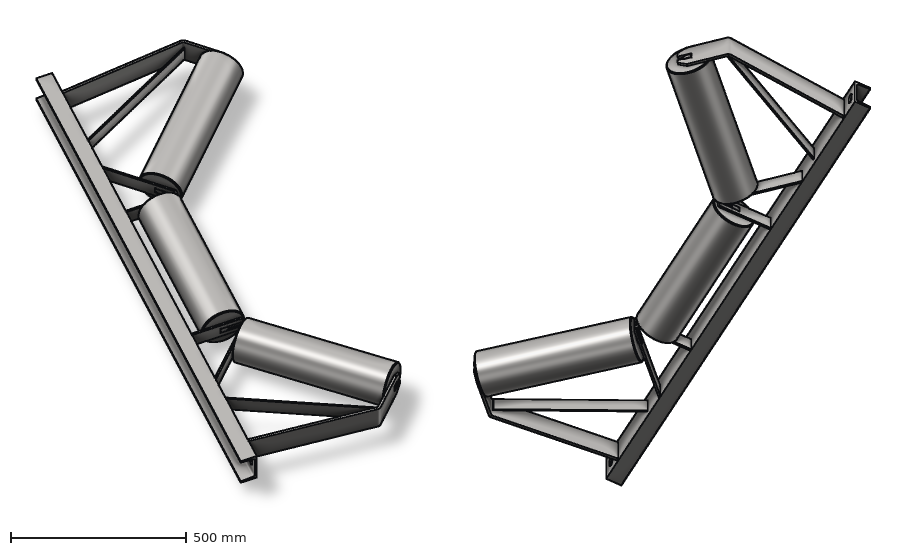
import cadquery as cq
import math


channel_length = 1500.0
channel_height = 100.0
flange_width = 50.0
web_thickness = 6.0
flange_thickness = 8.5
flange_slope = 0.08
root_radius = 8.0
slot_inset = 28.0
slot_width = 18.0
slot_length = 35.0

roller_diameter = 134.0
roller_length = 466.0
edge_chamfer = 3.0
shaft_diameter = 25.0
shaft_flat_width = 18.0
end_gap = 5.0
center_roller_y = 114.0
center_roller_z = -21.0
wing_angle = 45.0
wing_rise = 18.0
wing_center_x = -460.0
wing_center_y = 308.0

inner_plate_thickness = 6.0
outer_plate_thickness = 8.0
brace_thickness = 5.0
bend_radius = 8.0
inner_bracket_height = 50.0
outer_bracket_height = 81.0
outer_foot_x = -681.0
outer_knee_y = 392.0
outer_tip_beyond_shaft = 28.0
tip_chamfer_along = 27.0
tip_chamfer_across = 18.0
brace_foot_x = -501.0
brace_top_x = -705.0
brace_top_y = 390.0
brace_height = 50.0

roller_radius = roller_diameter / 2
shaft_radius = shaft_diameter / 2
shaft_overhang = end_gap + inner_plate_thickness
shaft_length = roller_length + 2 * shaft_overhang
inner_plate_offset = roller_length / 2 + end_gap + inner_plate_thickness / 2
outer_plate_offset = roller_length / 2 + end_gap + outer_plate_thickness / 2
wing_tilt = math.degrees(math.asin(wing_rise / roller_length))
wing_center_z = center_roller_z + wing_rise / 2
wing_cos = math.cos(math.radians(wing_angle))
wing_sin = math.sin(math.radians(wing_angle))


def wing_point(outward, upward):
    """Point in XY, measured from the middle of the left wing roller along and across its axis."""
    x = wing_center_x - outward * wing_cos + upward * wing_sin
    y = wing_center_y + outward * wing_sin + upward * wing_cos
    return (x, y)


def mirrored_pair(left_body):
    return [left_body.val(), left_body.mirror("YZ").val()]


def make_channel():
    half_height = channel_height / 2
    inner_width = flange_width - web_thickness
    slope_half = flange_slope * inner_width / 2
    root_z = half_height - flange_thickness - slope_half
    tip_z = half_height - flange_thickness + slope_half
    channel = (
        cq.Workplane("YZ", origin=(-channel_length / 2, 0, 0))
        .polyline([
            (0, -half_height),
            (-flange_width, -half_height),
            (-flange_width, -tip_z),
            (-web_thickness, -root_z),
            (-web_thickness, root_z),
            (-flange_width, tip_z),
            (-flange_width, half_height),
            (0, half_height),
        ])
        .close()
        .extrude(channel_length)
    )
    for side in (-1, 1):
        root = cq.selectors.NearestToPointSelector((0, -web_thickness, side * root_z))
        channel = channel.edges("|X").edges(root).fillet(root_radius)
    slot_x = channel_length / 2 - slot_inset
    slots = (
        cq.Workplane("XZ")
        .pushPoints([(-slot_x, 0), (slot_x, 0)])
        .slot2D(slot_length, slot_width, 90)
        .extrude(flange_width)
    )
    return channel.cut(slots)


def make_roller():
    """Roller along X with its middle at the origin and a flat-sided shaft end on each side."""
    drum = cq.Workplane("YZ", origin=(-roller_length / 2, 0, 0)).circle(roller_radius).extrude(roller_length)
    drum = drum.faces("<X or >X").edges().chamfer(edge_chamfer)
    shaft = cq.Workplane("YZ", origin=(-shaft_length / 2, 0, 0)).circle(shaft_radius).extrude(shaft_length)
    flats = cq.Workplane("XY").box(shaft_length, shaft_diameter, shaft_flat_width)
    return drum.union(shaft.intersect(flats))


def make_center_roller():
    return make_roller().translate((0, center_roller_y, center_roller_z))


def make_wing_roller():
    return (
        make_roller()
        .rotate((0, 0, 0), (0, 1, 0), wing_tilt)
        .rotate((0, 0, 0), (0, 0, 1), -wing_angle)
        .translate((wing_center_x, wing_center_y, wing_center_z))
    )


def offset_points(start, knee, end, distance):
    """The three points shifted to the left of the path; the ends shift along their end lines."""
    first = math.atan2(knee[1] - start[1], knee[0] - start[0])
    second = math.atan2(end[1] - knee[1], end[0] - knee[0])
    bisector = (first + second) / 2 + math.pi / 2
    miter = distance / math.cos((second - first) / 2)
    knee_point = (knee[0] + miter * math.cos(bisector), knee[1] + miter * math.sin(bisector))
    start_point = (start[0] - distance / math.sin(first), start[1])
    if end[1] == 0:
        end_point = (end[0] - distance / math.sin(second), 0)
    else:
        end_point = (end[0] - distance * math.sin(second), end[1] + distance * math.cos(second))
    return [start_point, knee_point, end_point]


def bent_plate(start, knee, end, thickness, height, middle_z):
    """Upright plate bent once; ends at Y = 0 are cut flush with the channel."""
    left_side = offset_points(start, knee, end, thickness / 2)
    right_side = offset_points(start, knee, end, -thickness / 2)
    plate = (
        cq.Workplane("XY", origin=(0, 0, middle_z - height / 2))
        .polyline(left_side + right_side[::-1])
        .close()
        .extrude(height)
    )
    outer_edge = cq.selectors.NearestToPointSelector((*left_side[1], middle_z))
    inner_edge = cq.selectors.NearestToPointSelector((*right_side[1], middle_z))
    plate = plate.edges("|Z").edges(outer_edge).fillet(bend_radius + thickness)
    return plate.edges("|Z").edges(inner_edge).fillet(bend_radius)


def wing_shaft_slot(outward, thickness):
    """Cutter for a shaft slot in a wing plate, tilted with the shaft and open toward the top of the plate."""
    slot_depth = 2 * shaft_diameter + outer_tip_beyond_shaft
    slot_z = wing_center_z + outward * math.tan(math.radians(wing_tilt))
    x, y = wing_point(outward, slot_depth / 2 - shaft_radius)
    return (
        cq.Workplane("XY")
        .box(2 * thickness, slot_depth, shaft_flat_width)
        .rotate((0, 0, 0), (0, 1, 0), wing_tilt)
        .rotate((0, 0, 0), (0, 0, 1), -wing_angle)
        .translate((x, y, slot_z))
    )


def make_inner_bracket():
    upright_x = -inner_plate_offset
    plate_line_x, plate_line_y = wing_point(-inner_plate_offset, 0)
    slope = wing_cos / wing_sin
    knee_y = plate_line_y + (upright_x - plate_line_x) * slope
    sloped_foot_x = plate_line_x - plate_line_y / slope
    bracket = bent_plate(
        (sloped_foot_x, 0),
        (upright_x, knee_y),
        (upright_x, 0),
        inner_plate_thickness,
        inner_bracket_height,
        center_roller_z,
    )
    upright_slot = (
        cq.Workplane("XY")
        .box(2 * inner_plate_thickness, knee_y, shaft_flat_width)
        .translate((upright_x, center_roller_y - shaft_radius + knee_y / 2, center_roller_z))
    )
    return bracket.cut(upright_slot).cut(wing_shaft_slot(-inner_plate_offset, inner_plate_thickness))


def make_outer_bracket():
    plate_line_x, plate_line_y = wing_point(outer_plate_offset, 0)
    knee_x = plate_line_x + (outer_knee_y - plate_line_y) * wing_sin / wing_cos
    tip = wing_point(outer_plate_offset, outer_tip_beyond_shaft)
    bracket = bent_plate(
        (outer_foot_x, 0), (knee_x, outer_knee_y), tip, outer_plate_thickness, outer_bracket_height, 0
    )
    bracket = bracket.cut(wing_shaft_slot(outer_plate_offset, outer_plate_thickness))
    half_height = outer_bracket_height / 2
    for side in (-1, 1):
        corner = (
            cq.Workplane("YZ")
            .polyline([
                (0, side * half_height),
                (-tip_chamfer_along, side * half_height),
                (0, side * (half_height - tip_chamfer_across)),
            ])
            .close()
            .extrude(outer_plate_thickness, both=True)
            .rotate((0, 0, 0), (0, 0, 1), -wing_angle)
            .translate((*tip, 0))
        )
        bracket = bracket.cut(corner)
    return bracket


def make_brace(bracket):
    """Flat brace from the channel to the inside of the bracket bend, trimmed to the bracket."""
    run = brace_top_x - brace_foot_x
    half_width = brace_thickness / 2 * math.hypot(run, brace_top_y) / brace_top_y
    brace = (
        cq.Workplane("XY", origin=(0, 0, -brace_height / 2))
        .polyline([
            (brace_foot_x - half_width, 0),
            (brace_foot_x + half_width, 0),
            (brace_top_x + half_width, brace_top_y),
            (brace_top_x - half_width, brace_top_y),
        ])
        .close()
        .extrude(brace_height)
    )
    return brace.cut(bracket)


channel = make_channel()
center_roller = make_center_roller()
outer_bracket = make_outer_bracket()

result = cq.Compound.makeCompound([
    channel.val(),
    center_roller.val(),
    *mirrored_pair(make_wing_roller()),
    *mirrored_pair(make_inner_bracket()),
    *mirrored_pair(outer_bracket),
    *mirrored_pair(make_brace(outer_bracket)),
])